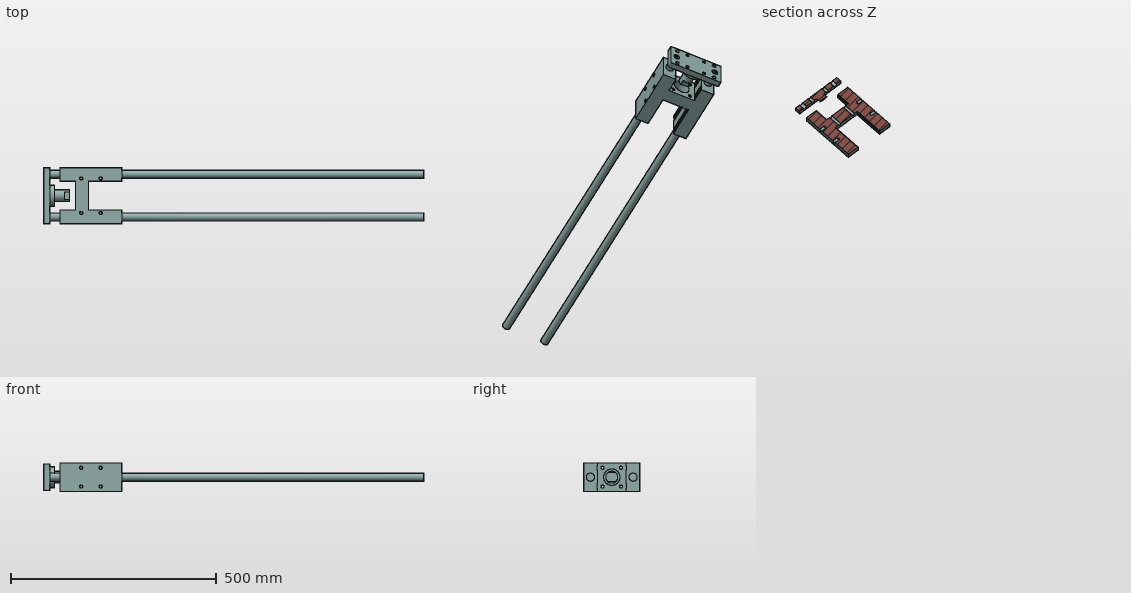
import cadquery as cq

total_length = 925.0
width = 137.0
height = 70.0

plate_thickness = 15.0
plate_height = 65.0
plate_corner_radius = 1.5
plate_inner_hole_spacing = 45.0
plate_outer_hole_spacing = 100.0
plate_hole_spacing_z = 46.0

rod_diameter = 20.0
rod_spacing = 104.0
seat_diameter = 15.0
seat_depth = 9.0
screw_head_diameter = 14.0
screw_head_depth = 8.0
socket_diameter = 6.0
socket_depth = 4.0

block_start = 39.5
block_length = 151.0
arm_width = 34.0
web_start = 77.0
web_thickness = 32.5
web_bore_diameter = 40.0
groove_width = 11.0
groove_depth = 1.0
groove_spacing = 44.0

mount_spacing_x = 47.5
top_hole_spacing_y = 84.0
side_hole_spacing_z = 45.5
mount_hole_depth = 15.0
clearance_diameter = 9.0
tapped_diameter = 6.65
thread_diameter = 8.0
entry_angle = 45.0
entry_depth = (thread_diameter - tapped_diameter) / 2

flange_diameter = 51.67
flange_thickness = 11.5
hub_diameter = 29.0
hub_end = 63.0
flat_length = 12.0
across_flats = 22.0

block_center_x = block_start + block_length / 2
arm_gap = width - 2 * arm_width


def box(x_start, length, size_y, size_z):
    """Box starting at x_start, centred on the X axis."""
    return cq.Workplane("XY").box(length, size_y, size_z).translate((x_start + length / 2, 0, 0))


def cylinders_x(diameter, x_start, x_end, centers=((0, 0),)):
    """Cylinders along X at the given (y, z) centres."""
    plane = cq.Workplane("YZ", origin=(x_start, 0, 0))
    return plane.pushPoints(centers).circle(diameter / 2).extrude(x_end - x_start)


def grid(spacing_a, spacing_b):
    """Four points of a centred rectangle."""
    return [(a * spacing_a / 2, b * spacing_b / 2) for a in (-1, 1) for b in (-1, 1)]


rod_centers = [(-rod_spacing / 2, 0), (rod_spacing / 2, 0)]
inner_holes = grid(plate_inner_hole_spacing, plate_hole_spacing_z)
outer_holes = grid(plate_outer_hole_spacing, plate_hole_spacing_z)


def tapped_holes(face, centers, depth):
    """Tapped holes with a 45 degree entry, drilled inward from a face plane."""
    drill = cq.Workplane(face).pushPoints(centers).circle(tapped_diameter / 2).extrude(-depth)
    entry = cq.Workplane(face).pushPoints(centers).circle(thread_diameter / 2)
    return drill.union(entry.extrude(-entry_depth, taper=entry_angle))


def make_plate():
    """Front plate with its holes, and the cap screws seated in front of the rods."""
    plate = box(0, plate_thickness, width, plate_height)
    plate = plate.edges("|X").fillet(plate_corner_radius)
    front_face = cq.Plane(origin=(0, 0, 0), xDir=(0, 1, 0), normal=(-1, 0, 0))
    plate = plate.cut(tapped_holes(front_face, inner_holes, plate_thickness))
    plate = plate.cut(cylinders_x(clearance_diameter, 0, plate_thickness, outer_holes))
    plate = plate.cut(cylinders_x(seat_diameter, 0, seat_depth, rod_centers))
    heads = cylinders_x(screw_head_diameter, seat_depth - screw_head_depth, seat_depth, rod_centers)
    sockets = cylinders_x(socket_diameter, 0, seat_depth - screw_head_depth + socket_depth, rod_centers)
    return plate.union(heads.cut(sockets))


def make_coupling():
    """Round flange and hub, with two flats milled across the hub tip in Z."""
    flange = cylinders_x(flange_diameter, plate_thickness, plate_thickness + flange_thickness)
    hub = cylinders_x(hub_diameter, plate_thickness, hub_end)
    tip_start = hub_end - flat_length
    tip_waste = box(tip_start, flat_length, hub_diameter, hub_diameter)
    tip_waste = tip_waste.cut(box(tip_start, flat_length, hub_diameter, across_flats))
    return flange.union(hub.cut(tip_waste))


def make_block():
    """H-shaped block: two arms joined by a bored web, with grooves in the inner arm walls."""
    block = box(block_start, block_length, width, height)
    block_end = block_start + block_length
    web_end = web_start + web_thickness
    for x_start, x_end in ((block_start, web_start), (web_end, block_end)):
        block = block.cut(box(x_start, x_end - x_start, arm_gap, height))
        for side in (-1, 1):
            groove = box(x_start, x_end - x_start, arm_gap + 2 * groove_depth, groove_width)
            block = block.cut(groove.translate((0, 0, side * groove_spacing / 2)))
    block = block.cut(cylinders_x(web_bore_diameter, web_start, web_end))
    web_face = cq.Plane(origin=(web_start, 0, 0), xDir=(0, 1, 0), normal=(-1, 0, 0))
    block = block.cut(tapped_holes(web_face, inner_holes, web_thickness))
    return block.cut(make_mounting_holes())


def make_mounting_holes():
    """Tapped holes in the top face and in both side faces of the block."""
    top_face = cq.Plane(origin=(block_center_x, 0, height / 2), xDir=(1, 0, 0), normal=(0, 0, 1))
    holes = tapped_holes(top_face, grid(mount_spacing_x, top_hole_spacing_y), mount_hole_depth)
    for side in (-1, 1):
        side_origin = (block_center_x, side * width / 2, 0)
        side_face = cq.Plane(origin=side_origin, xDir=(1, 0, 0), normal=(0, side, 0))
        side_centers = grid(mount_spacing_x, side_hole_spacing_z)
        holes = holes.union(tapped_holes(side_face, side_centers, mount_hole_depth))
    return holes


rods = cylinders_x(rod_diameter, plate_thickness, total_length, rod_centers)
result = make_plate().union(make_coupling()).union(make_block()).union(rods)